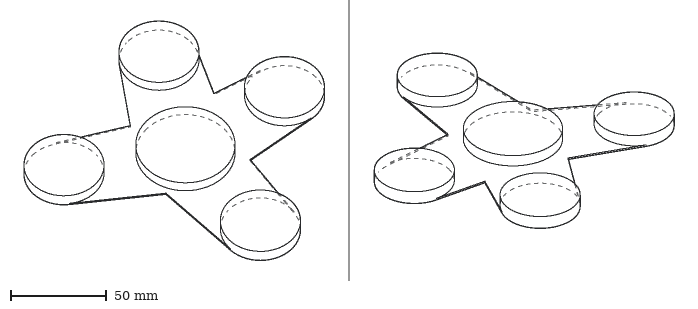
import cadquery as cq
import math

overall_width = 151.5
overall_depth = 131.8
height = 7.5
plate_thickness = 1.0
hub_radius = 52.0 / 2
pad_radius = 42.0 / 2

front_x = overall_width / 2 - pad_radius
front_y = -35.0
rear_x = 35.0
rear_y = overall_depth - 2 * pad_radius + front_y
pad_centres = [
    (front_x, front_y),
    (-front_x, front_y),
    (rear_x, rear_y),
    (-rear_x, rear_y),
]


def disc(centre, radius):
    """Full-height round pad standing on the base plane."""
    return cq.Workplane("XY").center(*centre).circle(radius).extrude(height)


def arm(centre):
    """Thin tapered web whose sides are tangent to the hub and to one pad."""
    x, y = centre
    direction = math.atan2(y, x)
    tangent_angle = math.acos((hub_radius - pad_radius) / math.hypot(x, y))
    left = direction + tangent_angle
    right = direction - tangent_angle

    def on_circle(cx, cy, radius, angle):
        return (cx + radius * math.cos(angle), cy + radius * math.sin(angle))

    corners = [
        on_circle(0, 0, hub_radius, left),
        on_circle(0, 0, hub_radius, right),
        on_circle(x, y, pad_radius, right),
        on_circle(x, y, pad_radius, left),
    ]
    return cq.Workplane("XY").polyline(corners).close().extrude(plate_thickness)


result = disc((0, 0), hub_radius)
for pad_centre in pad_centres:
    result = result.union(arm(pad_centre)).union(disc(pad_centre, pad_radius))